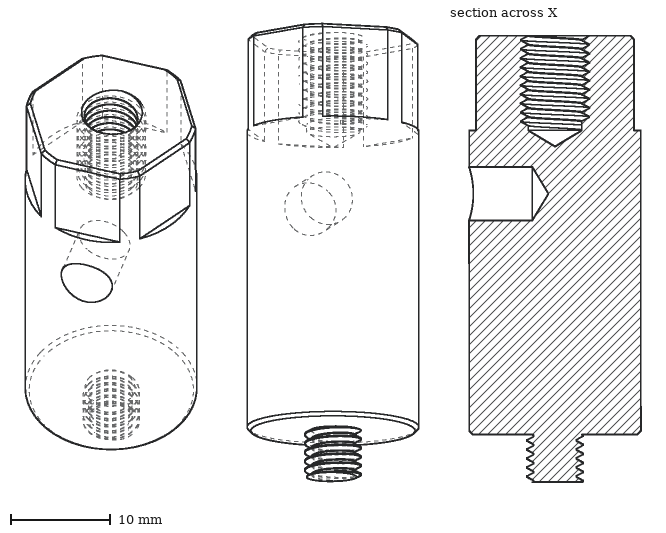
import math

import cadquery as cq

total_height = 44.83
body_diameter = 17.27
stud_length = 4.7625
body_radius = body_diameter / 2
body_height = total_height - stud_length

hex_across_flats = 15.875
hex_height = 9.525
hex_bottom = total_height - hex_height

bevel = 0.38

pitch = 25.4 / 28
stud_crest_diameter = 5.66
stud_crest_flat = pitch / 8
stud_thread_depth = (pitch - stud_crest_flat) / 2 * math.sqrt(3)
stud_thread_start_angle = 45
hole_minor_diameter = 5.36
hole_groove_flat = 0
hole_groove_depth = pitch * math.cos(math.pi / 6)
tapped_depth = 9.525
hole_thread_start_angle = 90
thread_base_share = 0.97
overlap = 0.05

cross_hole_diameter = 5.36
cross_hole_depth = 6.35
cross_hole_drop = 15.875
cross_hole_z = total_height - cross_hole_drop
drill_point_angle = 118


def thread_form(base_radius, tip_radius, tip_flat, coil_length, start_z, start_angle):
    """Helical V-shaped coil on the Z axis, from its base radius out to its tip radius."""
    half_base = pitch * thread_base_share / 2
    inner_radius = base_radius - overlap
    outline = [(inner_radius, half_base), (inner_radius, -half_base)]
    if tip_flat > 0:
        outline += [(tip_radius, -tip_flat / 2), (tip_radius, tip_flat / 2)]
    else:
        outline += [(tip_radius, 0)]
    profile = cq.Workplane("XZ").polyline(outline).close()
    path = cq.Workplane(obj=cq.Wire.makeHelix(pitch, coil_length, base_radius))
    coil = profile.sweep(path, isFrenet=True)
    return coil.rotate((0, 0, 0), (0, 0, 1), start_angle).translate((0, 0, start_z))


def drilled_hole(diameter, depth):
    """Cutter for a blind hole that runs from the origin down -Z to a drill point."""
    radius = diameter / 2
    point_length = radius / math.tan(math.radians(drill_point_angle / 2))
    return (
        cq.Workplane("XZ")
        .moveTo(0, 0)
        .lineTo(radius, 0)
        .lineTo(radius, -depth)
        .lineTo(0, -depth - point_length)
        .close()
        .revolve(360, (0, 0, 0), (0, 1, 0))
    )


def make_body():
    """Round body with a bevelled lower rim and a bevelled hexagonal top."""
    lower = (
        cq.Workplane("XY", origin=(0, 0, stud_length))
        .circle(body_radius)
        .extrude(body_height - hex_height)
        .faces("<Z")
        .chamfer(bevel)
    )
    hex_corner_diameter = hex_across_flats / math.cos(math.pi / 6)
    hexagon = (
        cq.Workplane("XY", origin=(0, 0, hex_bottom))
        .polygon(6, hex_corner_diameter)
        .extrude(hex_height)
    )
    rounded_hexagon = (
        cq.Workplane("XY", origin=(0, 0, hex_bottom))
        .circle(body_radius)
        .extrude(hex_height)
        .intersect(hexagon)
        .faces(">Z")
        .chamfer(bevel)
    )
    return lower.union(rounded_hexagon)


def make_stud():
    """Threaded stud below the body, cut off square at Z = 0."""
    crest_radius = stud_crest_diameter / 2
    root_radius = crest_radius - stud_thread_depth
    coil_length = stud_length + 2 * pitch
    core = (
        cq.Workplane("XY", origin=(0, 0, -2 * pitch))
        .circle(root_radius)
        .extrude(coil_length + 2 * pitch)
    )
    coil = thread_form(
        root_radius,
        crest_radius,
        stud_crest_flat,
        coil_length,
        -pitch,
        stud_thread_start_angle,
    )
    envelope = cq.Workplane("XY").circle(body_radius).extrude(stud_length + overlap)
    return core.union(coil).intersect(envelope)


def cut_tapped_hole(part):
    """Blind threaded hole in the middle of the top face."""
    minor_radius = hole_minor_diameter / 2
    groove_turns = math.floor(tapped_depth / pitch)
    groove = thread_form(
        minor_radius,
        minor_radius + hole_groove_depth,
        hole_groove_flat,
        (groove_turns + 1) * pitch,
        total_height - groove_turns * pitch,
        hole_thread_start_angle,
    )
    clearance = 2 * pitch
    drill = drilled_hole(hole_minor_diameter, tapped_depth + clearance)
    tap = drill.translate((0, 0, total_height + clearance)).union(groove)
    return part.cut(tap)


def cut_cross_hole(part):
    """Blind drilled hole that enters the -Y side, pointing toward +Y."""
    hole = (
        drilled_hole(cross_hole_diameter, cross_hole_depth)
        .rotate((0, 0, 0), (1, 0, 0), 90)
        .translate((0, -body_radius, cross_hole_z))
    )
    return part.cut(hole)


body = cut_cross_hole(cut_tapped_hole(make_body()))
result = body.union(make_stud())